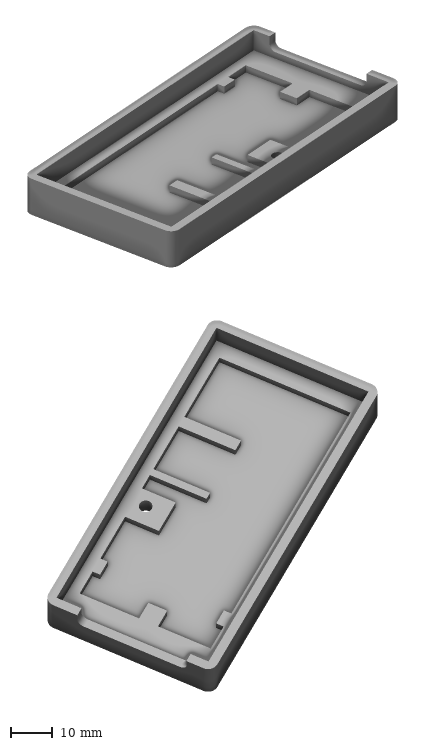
import cadquery as cq

width = 45.0
length = 90.0
height = 10.0
corner_radius = 2.5
wall = 2.25

ledge_z = 4.4
pocket_floor_z = 2.4

pocket_half_width = 17.5
pocket_back_y = 36.0
pocket_front_y = -38.7

side_tab_reach = 2.0
side_tab_y = (24.9, 29.1)
back_tab_x = (-3.4, 1.6)
back_tab_reach = 4.95
pad_reach = 9.0
pad_y = (2.7, 11.7)
rib_reach = 15.1
narrow_rib_y = (-3.4, -1.5)
wide_rib_y = (-20.0, -16.9)

hole_diameter = 3.2
hole_x = 14.4
hole_y = 6.8

notch_x = (-15.5, 13.6)
notch_floor_z = 6.2
notch_radius = 1.8


def block(x_range, y_range, z_range):
    """Box spanning the given (low, high) limits on each axis."""
    size = [high - low for low, high in (x_range, y_range, z_range)]
    corner = (x_range[0], y_range[0], z_range[0])
    return cq.Workplane("XY").box(*size, centered=False).translate(corner)


def make_tray():
    """Rounded outer block with the square-cornered main cavity."""
    outer = cq.Workplane("XY").box(width, length, height, centered=(True, True, False))
    outer = outer.edges("|Z").fillet(corner_radius)
    cavity_x = width / 2 - wall
    cavity_y = length / 2 - wall
    return outer.cut(block((-cavity_x, cavity_x), (-cavity_y, cavity_y), (ledge_z, height)))


def make_pocket():
    """Lower pocket, notched where the tabs, pad and ribs stand."""
    depth = (pocket_floor_z, ledge_z)
    left = -pocket_half_width
    right = pocket_half_width
    pocket = block((left, right), (pocket_front_y, pocket_back_y), depth)
    pocket = pocket.cut(block((left, left + side_tab_reach), side_tab_y, depth))
    pocket = pocket.cut(block(back_tab_x, (pocket_back_y - back_tab_reach, pocket_back_y), depth))
    right_pieces = (
        (side_tab_reach, side_tab_y),
        (pad_reach, pad_y),
        (rib_reach, narrow_rib_y),
        (rib_reach, wide_rib_y),
    )
    for reach, y_range in right_pieces:
        pocket = pocket.cut(block((right - reach, right), y_range, depth))
    return pocket


def make_notch():
    """Back-wall opening with rounded lower corners."""
    notch = block(notch_x, (length / 2 - wall, length / 2), (notch_floor_z, height))
    return notch.edges("|Y and <Z").fillet(notch_radius)


def make_hole():
    """Vertical hole through the pad and the floor."""
    return cq.Workplane("XY").center(hole_x, hole_y).circle(hole_diameter / 2).extrude(ledge_z)


result = make_tray().cut(make_pocket()).cut(make_notch()).cut(make_hole())